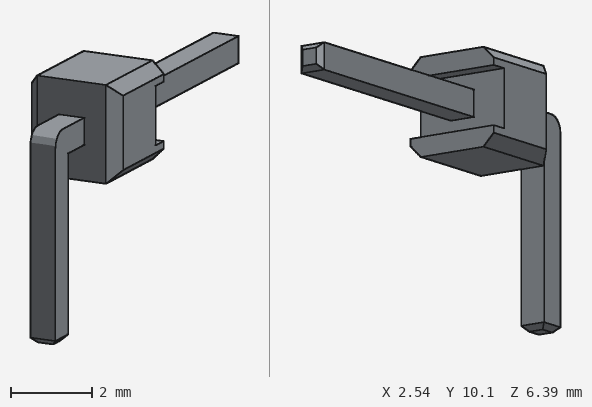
import cadquery as cq

total_length = 10.1
total_height = 6.39

housing_size = 2.54
housing_chamfer = 0.31
slot_height = 1.53
slot_depth = 0.43

pin_width = 0.7
bend_reach = 1.56
bend_radius = 0.4
tip_chamfer = 0.14

housing_half = housing_size / 2
pin_half = pin_width / 2
pin_front = -housing_half - bend_reach
pin_back = pin_front + total_length
pin_bottom = housing_half - total_height


def make_pin():
    """L-shaped square pin with a rounded outer bend and chamfered tips."""
    straight_arm = cq.Workplane("XY").box(
        pin_width, total_length, pin_width
    ).translate((0, (pin_front + pin_back) / 2, 0))
    leg_height = pin_half - pin_bottom
    leg = cq.Workplane("XY").box(pin_width, pin_width, leg_height).translate(
        (0, pin_front + pin_half, (pin_half + pin_bottom) / 2)
    )
    pin = straight_arm.union(leg).clean()
    pin = pin.faces("<Y").edges(">Z").fillet(bend_radius)
    pin = pin.faces(">Y").edges().chamfer(tip_chamfer)
    return pin.faces("<Z").edges().chamfer(tip_chamfer)


def make_housing():
    """Cube with chamfered sides, a slot across its back and a hole for the pin."""
    block = cq.Workplane("XY").box(housing_size, housing_size, housing_size)
    block = block.edges("|Y").chamfer(housing_chamfer)
    corner_cut = (
        cq.Workplane("XY")
        .moveTo(-housing_half, -housing_half)
        .line(housing_chamfer, 0)
        .line(-housing_chamfer, housing_chamfer)
        .close()
        .extrude(housing_half, both=True)
    )
    block = block.cut(corner_cut).cut(corner_cut.mirror("YZ"))

    slot = cq.Workplane("XY").box(housing_size, slot_depth, slot_height).translate(
        (0, housing_half - slot_depth / 2, 0)
    )
    pin_hole = cq.Workplane("XY").box(pin_width, housing_size, pin_width)
    return block.cut(slot).cut(pin_hole)


housing = make_housing()
pin = make_pin()
result = cq.Compound.makeCompound([housing.val(), pin.val()])